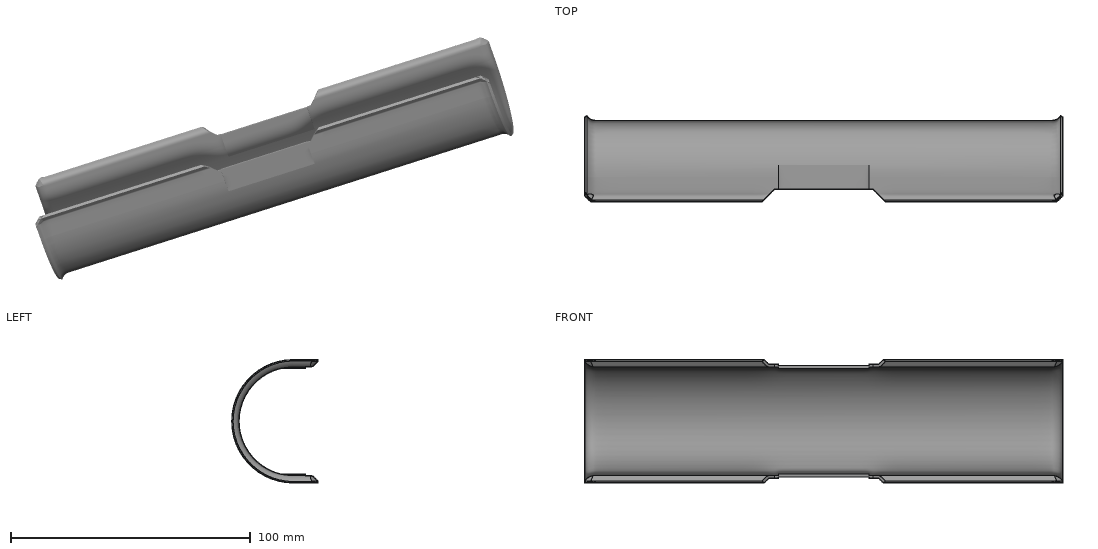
import cadquery as cq
import math

length = 199.5
depth = 36.0
height = 51.5
wall = 1.2

flare_angle = math.radians(60)
flare_inner_radius = 5.0
flare_outer_radius = flare_inner_radius - wall
flare_rise = flare_outer_radius * (1 - math.cos(flare_angle))

outer_radius = height / 2 - flare_rise
inner_radius = outer_radius - wall
leg_tip = depth - height / 2

lip_angle = math.radians(45)
lip_inner_radius = 2.0
lip_outer_radius = lip_inner_radius - wall
corner_chamfer = 2.5
chamfer_direction = 45

pad_length = 38.0
pad_reach = 5.0
relief_floor_length = 41.0
relief_depth = leg_tip - pad_reach


def flared_profile(radius, bend_radius, is_outside):
    """Half of the lengthwise section, between the axis and one face of the wall (XZ plane)."""
    bend_start = length / 2 - flare_inner_radius * math.sin(flare_angle)

    def on_bend(angle):
        along = bend_start + bend_radius * math.sin(angle)
        return along, radius + bend_radius * (1 - math.cos(angle))

    middle_x, middle_r = on_bend(flare_angle / 2)
    tip_x, tip_r = on_bend(flare_angle)
    profile = (
        cq.Workplane("XZ")
        .moveTo(-bend_start, radius)
        .lineTo(bend_start, radius)
        .threePointArc((middle_x, middle_r), (tip_x, tip_r))
    )
    rim_r = tip_r
    if is_outside:
        rim_r = tip_r - wall * math.cos(flare_angle)
        profile = profile.lineTo(length / 2, rim_r)
    profile = profile.lineTo(length / 2, 0).lineTo(-length / 2, 0).lineTo(-length / 2, rim_r)
    if is_outside:
        profile = profile.lineTo(-tip_x, tip_r)
    return profile.threePointArc((-middle_x, middle_r), (-bend_start, radius)).close()


def flared_body(radius, bend_radius, is_outside):
    """Filled channel with flared ends: half round above the axis, straight legs below it."""
    profile = flared_profile(radius, bend_radius, is_outside)
    half_round = profile.revolve(180, (0, 0, 0), (-1, 0, 0))
    leg = flared_profile(radius, bend_radius, is_outside).extrude(leg_tip)
    return half_round.union(leg).union(leg.mirror("XY"))


def lip_body(radius, bend_radius, is_outside, lip_length):
    """Filled space between an upper and a lower lip with their edges at the leg tips."""
    inner_tip_z = height / 2 - wall * math.cos(lip_angle)
    slope_foot = leg_tip - (inner_tip_z - inner_radius) / math.tan(lip_angle)
    bend_start = slope_foot - lip_inner_radius * math.tan(lip_angle / 2)

    def on_bend(angle):
        across = bend_start + bend_radius * math.sin(angle)
        return -across, radius + bend_radius * (1 - math.cos(angle))

    profile = (
        cq.Workplane("YZ")
        .moveTo(-bend_start, 0)
        .lineTo(-bend_start, radius)
        .threePointArc(on_bend(lip_angle / 2), on_bend(lip_angle))
    )
    if is_outside:
        profile = profile.lineTo(wall * math.sin(lip_angle) - leg_tip, height / 2)
    profile = profile.lineTo(-leg_tip, inner_tip_z).lineTo(-leg_tip, 0).close()
    half = profile.extrude(lip_length / 2, both=True)
    return half.union(half.mirror("XY"))


def corner_lips(radius, bend_radius, is_outside):
    """Filled space between the lips that run along the chamfered leg corners."""
    corner_x = length / 2 - corner_chamfer / 2
    corner_y = corner_chamfer / 2 - leg_tip
    strip = (
        lip_body(radius, bend_radius, is_outside, 2 * leg_tip)
        .translate((0, leg_tip, 0))
        .rotate((0, 0, 0), (0, 0, 1), chamfer_direction)
        .translate((corner_x, corner_y, 0))
    )
    strip = strip.intersect(cq.Workplane("XY").box(length, 2 * leg_tip, height))
    return strip.union(strip.mirror("YZ"))


def filled_channel(radius, flare_radius, lip_radius, is_outside):
    """Channel filled up to one face of its wall, with flare and lips."""
    body = flared_body(radius, flare_radius, is_outside)
    body = body.union(lip_body(radius, lip_radius, is_outside, length))
    return body.union(corner_lips(radius, lip_radius, is_outside))


def channel():
    outside = filled_channel(outer_radius, flare_outer_radius, lip_outer_radius, True)
    inside = filled_channel(inner_radius, flare_inner_radius, lip_inner_radius, False)
    return outside.cut(inside)


def leg_corners():
    """Wedges that cut the four leg corners at 45 degrees."""
    wedge = (
        cq.Workplane("XY")
        .moveTo(length / 2, -leg_tip)
        .lineTo(length / 2 - corner_chamfer, -leg_tip)
        .lineTo(length / 2, corner_chamfer - leg_tip)
        .close()
        .extrude(height, both=True)
    )
    return wedge.union(wedge.mirror("YZ"))


def relief():
    """Trapezoidal opening through both legs, widening towards their edges."""
    floor_x = relief_floor_length / 2
    mouth_x = floor_x + relief_depth
    return (
        cq.Workplane("XY")
        .moveTo(-mouth_x, -leg_tip)
        .lineTo(mouth_x, -leg_tip)
        .lineTo(floor_x, -pad_reach)
        .lineTo(-floor_x, -pad_reach)
        .close()
        .extrude(height, both=True)
    )


def pads():
    """Flat plates on the chord of the round wall, one per leg."""
    pad_outer_z = math.sqrt(outer_radius**2 - pad_reach**2)
    pad_inner_z = math.sqrt(inner_radius**2 - pad_reach**2)
    thickness = pad_outer_z - pad_inner_z
    pad = (
        cq.Workplane("XY")
        .workplane(offset=pad_inner_z)
        .rect(pad_length, 2 * pad_reach)
        .extrude(thickness)
    )
    return pad.union(pad.mirror("XY"))


pad_clearance = cq.Workplane("XY").box(pad_length, 2 * pad_reach, 2 * height)

result = channel().cut(leg_corners()).cut(relief()).cut(pad_clearance).union(pads())